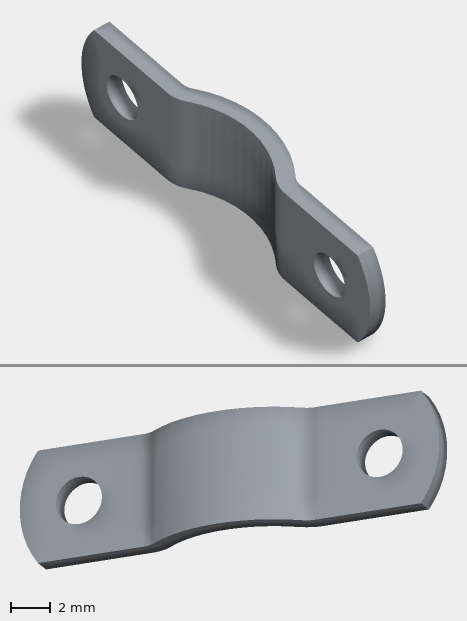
import cadquery as cq
import math

length = 23.0
width = 6.0
height = 2.5
thickness = 1.0
saddle_radius = 6.0
bend_radius = 1.0
end_radius = 5.0
hole_diameter = 2.5
hole_spacing = 16.5

half_length = length / 2
crown_radius = saddle_radius + thickness
saddle_y = height - crown_radius
outer_bend_radius = bend_radius + thickness
bend_y = outer_bend_radius

center_distance = saddle_radius + outer_bend_radius
bend_angle = math.acos((bend_y - saddle_y) / center_distance)
bend_x = center_distance * math.sin(bend_angle)


def saddle_point(radius, angle):
    """Point on an arc about the saddle centre, angle measured from +Y towards +X."""
    return (radius * math.sin(angle), saddle_y + radius * math.cos(angle))


def bend_point(radius, angle, side):
    """Point on the bend at side -1 or +1, angle measured from -Y towards the saddle."""
    return (side * (bend_x - radius * math.sin(angle)), bend_y - radius * math.cos(angle))


def bent_strip():
    """Strip with two tabs and a raised saddle, centred on Z = 0."""
    mid_angle = bend_angle / 2
    section = (
        cq.Workplane("XY")
        .moveTo(-half_length, 0)
        .lineTo(-bend_x, 0)
        .threePointArc(bend_point(outer_bend_radius, mid_angle, -1), saddle_point(saddle_radius, -bend_angle))
        .threePointArc(saddle_point(saddle_radius, 0), saddle_point(saddle_radius, bend_angle))
        .threePointArc(bend_point(outer_bend_radius, mid_angle, 1), (bend_x, 0))
        .lineTo(half_length, 0)
        .lineTo(half_length, thickness)
        .lineTo(bend_x, thickness)
        .threePointArc(bend_point(bend_radius, mid_angle, 1), saddle_point(crown_radius, bend_angle))
        .threePointArc(saddle_point(crown_radius, 0), saddle_point(crown_radius, -bend_angle))
        .threePointArc(bend_point(bend_radius, mid_angle, -1), (-bend_x, thickness))
        .lineTo(-half_length, thickness)
        .close()
    )
    return section.extrude(width / 2, both=True)


def rounded_outline():
    """Block with the outline of the strip seen along Y, used to round the tab ends."""
    half_width = width / 2
    end_rise = end_radius - math.sqrt(end_radius**2 - half_width**2)
    corner_x = half_length - end_rise
    return (
        cq.Workplane("XZ")
        .moveTo(-corner_x, -half_width)
        .lineTo(corner_x, -half_width)
        .threePointArc((half_length, 0), (corner_x, half_width))
        .lineTo(-corner_x, half_width)
        .threePointArc((-half_length, 0), (-corner_x, -half_width))
        .close()
        .extrude(-height)
    )


def screw_holes():
    """Cylinders for the through hole in each tab."""
    return (
        cq.Workplane("XZ")
        .pushPoints([(-hole_spacing / 2, 0), (hole_spacing / 2, 0)])
        .circle(hole_diameter / 2)
        .extrude(-height)
    )


result = bent_strip().intersect(rounded_outline()).cut(screw_holes())